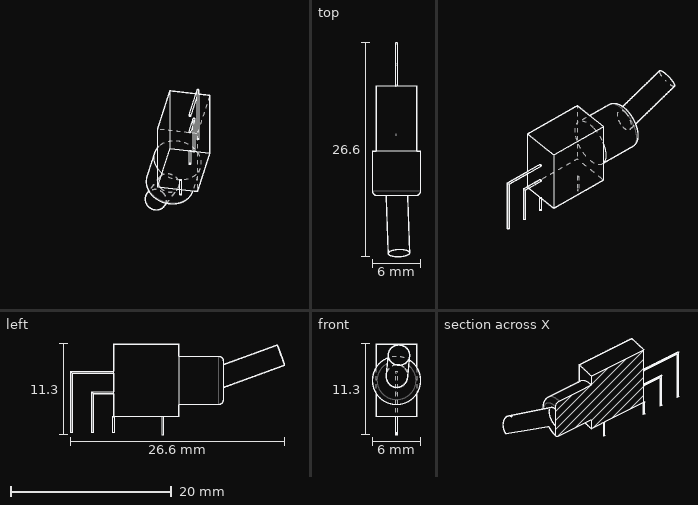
import cadquery as cq
import math


CASE_WIDTH = 5.08
CASE_LENGTH = 8.1
CASE_HEIGHT = 9.0

BUSHING_DIAMETER = 6.0
BUSHING_LENGTH = 5.55
BUSHING_ROUND = 0.6
BUSHING_AXIS_Z = CASE_HEIGHT / 2

LEVER_DIAMETER = 2.71
LEVER_WALL = 0.04
LEVER_TILT_UP = 20.0
LEVER_TURN_SIDEWAYS = 2.0
LEVER_LENGTH = 9.2
LEVER_PIVOT_DEPTH = 1.5

TERMINAL_DIAMETER = 0.26
TERMINAL_DROP = 2.0
TERMINAL_PITCH = 2.62
TERMINAL_LEVEL_STEP = 2.54
FIRST_TERMINAL_Y = 0.02
FIRST_TERMINAL_LEVEL = 0.42
BENT_TERMINAL_COUNT = 2

SUPPORT_PIN_DIAMETER = 0.2
SUPPORT_PIN_DROP = 2.3
SUPPORT_PIN_Y = -6.1

CASE_FRONT_Y = -CASE_LENGTH
BUSHING_FACE_Y = CASE_FRONT_Y - BUSHING_LENGTH
PIN_EMBED = 0.5


def rod(start, direction, length, diameter):
    """Solid round rod from a start point along a direction."""
    cylinder = cq.Solid.makeCylinder(diameter / 2, length, cq.Vector(*start), cq.Vector(*direction))
    return cq.Workplane(cylinder)


def make_case():
    base = cq.Workplane("XY", origin=(0, CASE_FRONT_Y, 0))
    return base.box(CASE_WIDTH, CASE_LENGTH, CASE_HEIGHT, centered=(True, False, False))


def make_bushing():
    body = rod((0, CASE_FRONT_Y, BUSHING_AXIS_Z), (0, -1, 0), BUSHING_LENGTH, BUSHING_DIAMETER)
    return body.faces("<Y").edges().fillet(BUSHING_ROUND)


def make_lever():
    up = math.radians(LEVER_TILT_UP)
    sideways = math.radians(LEVER_TURN_SIDEWAYS)
    direction = (
        math.cos(up) * math.sin(sideways),
        -math.cos(up) * math.cos(sideways),
        math.sin(up),
    )
    root = (0, BUSHING_FACE_Y + LEVER_PIVOT_DEPTH, BUSHING_AXIS_Z)
    bore_diameter = LEVER_DIAMETER - 2 * LEVER_WALL
    outside = rod(root, direction, LEVER_LENGTH, LEVER_DIAMETER)
    return outside.cut(rod(root, direction, LEVER_LENGTH, bore_diameter))


def make_bent_terminal(y, level):
    path = cq.Workplane("YZ").moveTo(-PIN_EMBED, level).lineTo(y, level).lineTo(y, -TERMINAL_DROP)
    profile = cq.Workplane("XZ", origin=(0, -PIN_EMBED, level)).circle(TERMINAL_DIAMETER / 2)
    return profile.sweep(path, transition="right")


def make_straight_terminal():
    return rod((0, FIRST_TERMINAL_Y, 0), (0, 0, -1), TERMINAL_DROP, TERMINAL_DIAMETER)


def make_support_pin():
    length = PIN_EMBED + SUPPORT_PIN_DROP
    return rod((0, SUPPORT_PIN_Y, PIN_EMBED), (0, 0, -1), length, SUPPORT_PIN_DIAMETER)


result = make_case().union(make_lever()).union(make_bushing())
result = result.union(make_straight_terminal()).union(make_support_pin())
for index in range(1, BENT_TERMINAL_COUNT + 1):
    terminal_y = FIRST_TERMINAL_Y + index * TERMINAL_PITCH
    terminal_level = FIRST_TERMINAL_LEVEL + index * TERMINAL_LEVEL_STEP
    result = result.union(make_bent_terminal(terminal_y, terminal_level))